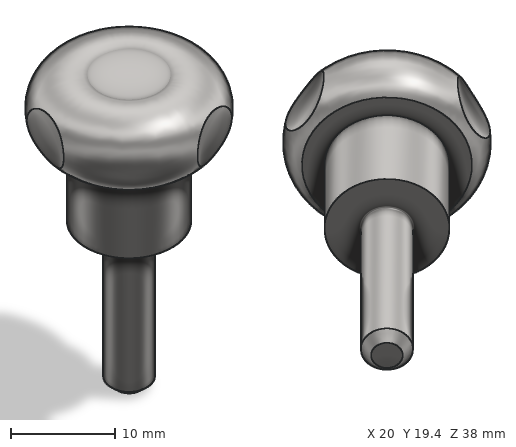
import cadquery as cq
import math

total_height = 38.0
pin_diameter = 5.0
pin_length = 20.0
tip_chamfer = 1.0
neck_fillet = 0.25
hub_diameter = 12.0
hub_length = 10.05
head_diameter = 20.0
rim_radius = 4.4
dish_diameter = 7.98
scallop_radius = 15.2
scallop_depth = 1.0
scallop_count = 3
first_scallop_angle = -90.0

head_radius = head_diameter / 2
head_bottom = pin_length + hub_length
rim_center_r = head_radius - rim_radius
rim_center_z = total_height - rim_radius


def make_head():
    """Revolved head: round rim, flat underside and a shallow central dish."""
    dish_radius = dish_diameter / 2
    dish_z = rim_center_z + math.sqrt(rim_radius**2 - (rim_center_r - dish_radius) ** 2)
    bottom_radius = rim_center_r + math.sqrt(rim_radius**2 - (rim_center_z - head_bottom) ** 2)
    profile = (
        cq.Workplane("XZ")
        .moveTo(0, head_bottom)
        .lineTo(bottom_radius, head_bottom)
        .threePointArc((rim_center_r, total_height), (dish_radius, dish_z))
        .lineTo(0, dish_z)
        .close()
    )
    return profile.revolve(360, (0, 0, 0), (0, 1, 0))


def cut_scallops(head):
    """Hollow the rim with evenly spaced upright cylinders."""
    scallop_distance = head_radius - scallop_depth + scallop_radius
    for index in range(scallop_count):
        angle = math.radians(first_scallop_angle + index * 360 / scallop_count)
        cutter = (
            cq.Workplane("XY")
            .workplane(offset=head_bottom)
            .center(scallop_distance * math.cos(angle), scallop_distance * math.sin(angle))
            .circle(scallop_radius)
            .extrude(total_height - head_bottom)
        )
        head = head.cut(cutter)
    return head


def make_hub():
    """Plain cylinder below the head."""
    return cq.Workplane("XY").workplane(offset=pin_length).circle(hub_diameter / 2).extrude(hub_length)


def make_pin():
    """Pin with a chamfered tip."""
    return cq.Workplane("XY").circle(pin_diameter / 2).extrude(pin_length).faces("<Z").chamfer(tip_chamfer)


shank = make_hub().union(make_pin())
neck_zone = cq.selectors.BoxSelector(
    (-pin_diameter, -pin_diameter, pin_length - tip_chamfer),
    (pin_diameter, pin_diameter, pin_length + tip_chamfer),
    boundingbox=True,
)
shank = shank.edges(neck_zone).fillet(neck_fillet)

result = cut_scallops(make_head()).union(shank)